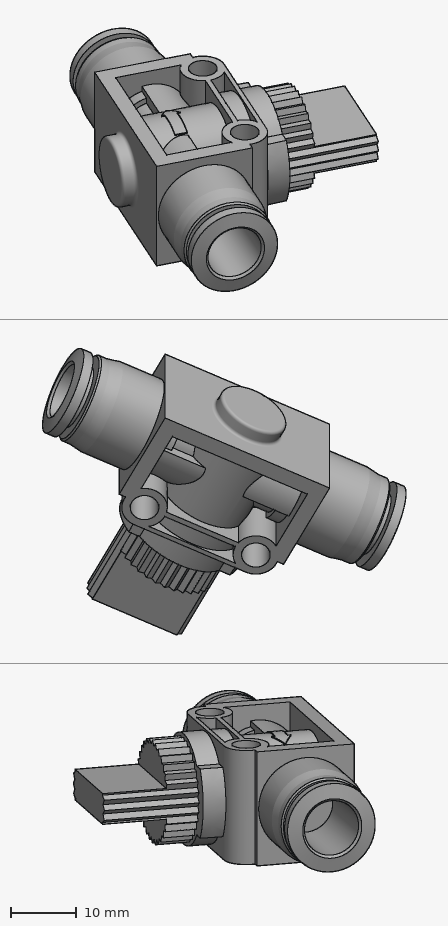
import cadquery as cq
import math


body_half_x = 14.0
body_half_z = 8.995
body_front_y = -7.75
shoulder_y = 7.7
wall = 2.5
web_half_thickness = 1.0

lug_x = 9.45
lug_y = 8.1
lug_radius = 3.45
lug_hole_radius = 2.2
body_back_y = lug_y + lug_radius

rib_front_y = 7.3
rib_back_y = 8.15
back_wall = 0.7
bay_back_y = body_back_y - back_wall

core_radius = 7.45
bay_core_radius = 8.7
duct_radius = 6.6
duct_overlap = 1.0
stub_radius = 5.7
stub_inner_x = 9.45
throat_radius = 4.8

arrow_half_length = 3.4
arrow_head_length = 2.2
arrow_head_half_width = 1.55
arrow_shaft_half_width = 1.0
arrow_height = 0.15

port_radius = 7.45
port_taper_x = 21.0
port_band_x = 23.05
port_band_radius = 7.1
port_end_x = 24.75
port_chamfer = 0.3
neck_radius = 4.95
collar_radius = 6.95
collar_inner_x = 25.85
collar_rim_x = 27.4
overall_half_x = 27.85
bore_radius = 4.3
bore_chamfer = 0.4
bore_end_x = body_half_x

button_radius = 5.5
button_round = 0.5
button_front_y = -10.2

flange_back_y = 15.1
ear_radius = 10.3
ear_draft_angle = 2
ear_half_z = 5.45
knob_back_y = 20.05
grip_back_y = 30.15
grip_half_z = 2.425
tooth_count = 32
tooth_tip_radius = 8.15
tooth_root_radius = 7.4


def box(x_range, y_range, z_range):
    size = [end - start for start, end in (x_range, y_range, z_range)]
    corner = (x_range[0], y_range[0], z_range[0])
    return cq.Workplane("XY").box(*size, centered=False).translate(corner)


def cylinder_x(radius, x_start, x_end):
    return cq.Workplane("YZ", origin=(x_start, 0, 0)).circle(radius).extrude(x_end - x_start)


def along_y(y_start):
    """Workplane whose normal is +Y."""
    return cq.Workplane("XZ", origin=(0, y_start, 0)).transformed(rotate=(180, 0, 0))


def cylinder_y(radius, y_start, y_end):
    return along_y(y_start).circle(radius).extrude(y_end - y_start)


def both_lugs(radius):
    height = 2 * body_half_z
    plane = cq.Workplane("XY", origin=(0, 0, -body_half_z))
    return plane.pushPoints([(-lug_x, lug_y), (lug_x, lug_y)]).circle(radius).extrude(height)


def make_outer_body():
    z_range = (-body_half_z, body_half_z)
    block = box((-body_half_x, body_half_x), (body_front_y, shoulder_y), z_range)
    bridge = box((-lug_x, lug_x), (lug_y - lug_radius, body_back_y), z_range)
    return block.union(bridge).union(both_lugs(lug_radius))


def make_pockets():
    """Pocket and bay hollows above and below the middle web."""
    pocket_x = body_half_x - wall
    above = (web_half_thickness, body_half_z)
    pocket = box((-pocket_x, pocket_x), (body_front_y + wall, rib_front_y), above)
    bay = box((-lug_x, lug_x), (rib_back_y, bay_back_y), above)
    upper = pocket.union(bay).cut(both_lugs(lug_radius))
    return upper.union(upper.mirror("XY"))


def make_core():
    core = cylinder_y(core_radius, body_front_y, rib_back_y)
    return core.union(cylinder_y(bay_core_radius, rib_back_y, body_back_y))


def make_left_duct():
    """Wide half duct on the back side, with a stub and a narrow throat on the other."""
    duct = cylinder_x(duct_radius, -body_half_x, 0)
    back_half = box((-body_half_x, 0), (-duct_overlap, duct_radius), (-duct_radius, duct_radius))
    stub = cylinder_x(stub_radius, -body_half_x, -stub_inner_x)
    throat = cylinder_x(throat_radius, -body_half_x, 0)
    return duct.intersect(back_half).union(stub).union(throat)


def make_arrow():
    neck_x = arrow_head_length - arrow_half_length
    outline = [
        (-arrow_half_length, 0),
        (neck_x, arrow_head_half_width),
        (neck_x, arrow_shaft_half_width),
        (arrow_half_length, arrow_shaft_half_width),
        (arrow_half_length, -arrow_shaft_half_width),
        (neck_x, -arrow_shaft_half_width),
        (neck_x, -arrow_head_half_width),
    ]
    prism = cq.Workplane("XY").polyline(outline).close().extrude(body_half_z)
    skin = cylinder_y(core_radius + arrow_height, -arrow_head_half_width, arrow_head_half_width)
    return prism.intersect(skin)


def make_right_port():
    profile = (
        cq.Workplane("XY")
        .moveTo(body_half_x, 0)
        .lineTo(body_half_x, port_radius)
        .lineTo(port_taper_x, port_radius)
        .lineTo(port_band_x, port_band_radius)
        .lineTo(port_end_x - port_chamfer, port_band_radius)
        .lineTo(port_end_x, port_band_radius - port_chamfer)
        .lineTo(port_end_x, neck_radius)
        .lineTo(collar_inner_x, neck_radius)
        .lineTo(collar_inner_x, collar_radius)
        .lineTo(collar_rim_x, collar_radius)
        .lineTo(overall_half_x, bore_radius + bore_chamfer)
        .lineTo(overall_half_x - bore_chamfer, bore_radius)
        .lineTo(bore_end_x, bore_radius)
        .lineTo(bore_end_x, 0)
        .close()
    )
    return profile.revolve(360, (0, 0, 0), (1, 0, 0))


def make_button():
    """Round button with a concave fillet at its root and a rounded front edge."""
    diagonal = button_round * math.sqrt(0.5)
    root_centre = (button_radius + button_round, body_front_y - button_round)
    edge_centre = (button_radius - button_round, button_front_y + button_round)
    profile = (
        cq.Workplane("XY")
        .moveTo(0, body_front_y)
        .lineTo(root_centre[0], body_front_y)
        .threePointArc(
            (root_centre[0] - diagonal, root_centre[1] + diagonal),
            (button_radius, root_centre[1]),
        )
        .lineTo(button_radius, edge_centre[1])
        .threePointArc(
            (edge_centre[0] + diagonal, edge_centre[1] - diagonal),
            (edge_centre[0], button_front_y),
        )
        .lineTo(0, button_front_y)
        .close()
    )
    return profile.revolve(360, (0, 0, 0), (0, 1, 0))


def make_flange():
    """Round flange with a wider, slightly tapered ear on each side, flat above and below."""
    y_range = (body_back_y, flange_back_y)
    ear_slab = box((-ear_radius, ear_radius), y_range, (-ear_half_z, ear_half_z))
    flange_length = flange_back_y - body_back_y
    ear_cone = along_y(body_back_y).circle(ear_radius).extrude(flange_length, taper=ear_draft_angle)
    ears = ear_cone.intersect(ear_slab)
    return cylinder_y(bay_core_radius, *y_range).union(ears)


def make_knob():
    """Toothed knob whose outer end is cut down to a flat grip."""
    outline = []
    for index in range(2 * tooth_count):
        radius = tooth_root_radius if index % 2 else tooth_tip_radius
        angle = math.pi * index / tooth_count
        outline.append((radius * math.cos(angle), radius * math.sin(angle)))
    toothed = along_y(flange_back_y).polyline(outline).close().extrude(grip_back_y - flange_back_y)
    side_x = (-tooth_tip_radius, tooth_tip_radius)
    relief = box(side_x, (knob_back_y, grip_back_y), (grip_half_z, tooth_tip_radius))
    return toothed.cut(relief).cut(relief.mirror("XY"))


left_duct = make_left_duct()
right_duct = left_duct.rotate((0, 0, 0), (0, 0, 1), 180)
inner_parts = make_core().union(left_duct).union(right_duct).union(make_arrow())

right_port = make_right_port()
left_port = right_port.mirror("YZ")

result = make_outer_body().cut(make_pockets()).union(inner_parts)
result = result.cut(both_lugs(lug_hole_radius))
for feature in (left_port, right_port, make_button(), make_flange(), make_knob()):
    result = result.union(feature)